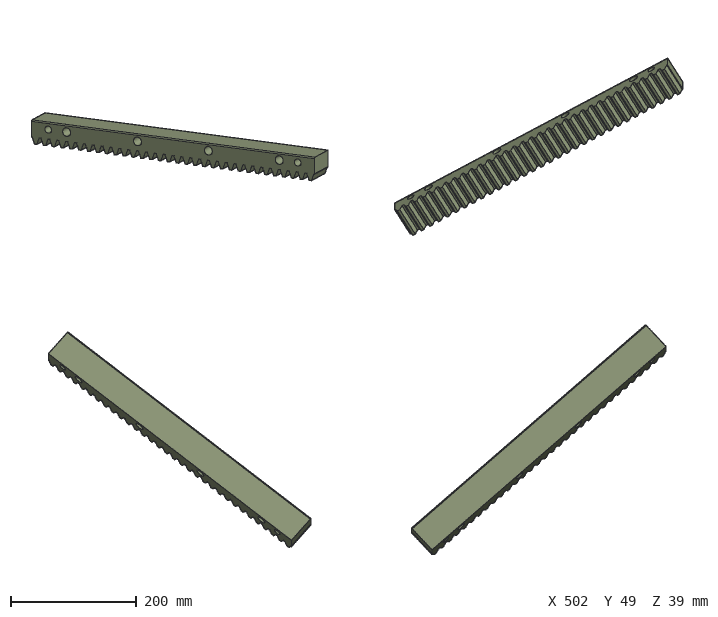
import cadquery as cq
import math

length = 502.0
width = 49.0
height = 39.0
edge_chamfer = 2.0

tooth_count = 32
end_trim = 0.45
pitch = (length + 2 * end_trim) / tooth_count
module = pitch / math.pi
pressure_angle = math.radians(20)
addendum = module
dedendum = 1.25 * module

hole_depth_from_back = 12.0
bolt_diameter = 14.0
bolt_count = 4
bolt_spacing = pitch * tooth_count / bolt_count
pin_diameter = 11.5
pin_end_offset = 30.0

x_first_gap = -length / 2 - end_trim
z_pitch_line = addendum


def make_body():
    """Bar with its -Y back edge chamfered."""
    bar = cq.Workplane("XY").box(length, width, height, centered=(True, True, False))
    return bar.faces(">Z").edges("<Y").chamfer(edge_chamfer)


def half_gap(z):
    """Half the width of a tooth gap at height z above the tooth tips."""
    return pitch / 4 - (z - z_pitch_line) * math.tan(pressure_angle)


def make_gap(x_center):
    """Full-width cutter for one tooth gap with a flat root."""
    z_root = addendum + dedendum
    outline = [
        (x_center - half_gap(0), 0),
        (x_center - half_gap(z_root), z_root),
        (x_center + half_gap(z_root), z_root),
        (x_center + half_gap(0), 0),
    ]
    return cq.Workplane("XZ").polyline(outline).close().extrude(width / 2, both=True)


def make_holes(x_centers, diameter):
    """Through-hole cutters along Y."""
    centers = [(x, height - hole_depth_from_back) for x in x_centers]
    return cq.Workplane("XZ").pushPoints(centers).circle(diameter / 2).extrude(width / 2, both=True)


result = make_body()

for i in range(tooth_count + 1):
    result = result.cut(make_gap(x_first_gap + i * pitch))

bolt_centers = [x_first_gap + (i + 0.5) * bolt_spacing for i in range(bolt_count)]
result = result.cut(make_holes(bolt_centers, bolt_diameter))

pin_centers = [x_first_gap + pin_end_offset, -x_first_gap - pin_end_offset]
result = result.cut(make_holes(pin_centers, pin_diameter))